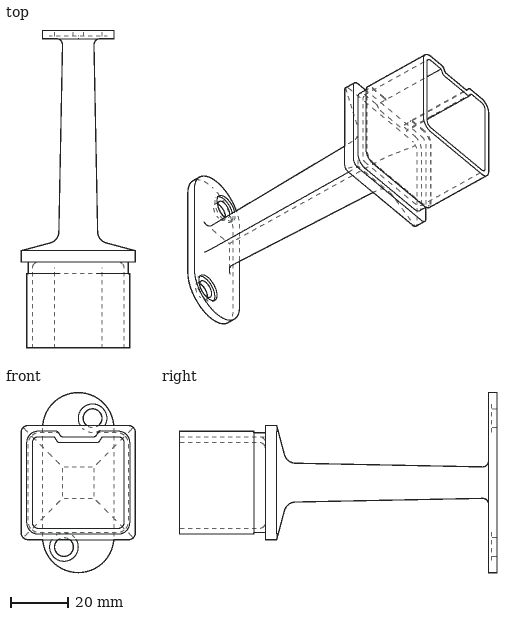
import cadquery as cq
import math

plate_width = 25.0
plate_height = 63.0
plate_thickness = 3.0
screw_offset_x = 5.0
screw_offset_z = 22.5
screw_diameter = 6.5
counterbore_diameter = 10.0
counterbore_depth = 1.0

stem_width_at_plate = 11.0
stem_width_at_flange = 13.9
plate_fillet = 2.0
flange_fillet = 4.0

flange_width = 40.0
flange_thickness = 4.0
flange_corner_radius = 2.5
pyramid_angle = 15.0

overall_length = 111.0
plug_length = 30.0
neck_length = 4.0
plug_width = 36.0
neck_width = 35.0
plug_corner_radius = 4.0
wall = 2.0
groove_depth = 2.0
groove_floor_width = 12.0
groove_side_angle = 60.0
groove_edge_radius = 1.1
pocket_depth = plug_length
pocket_floor_fillet = 2.0

plug_start = overall_length - plug_length
neck_end = plug_start + neck_length
flange_back = plug_start - flange_thickness

pyramid_slope = math.tan(math.radians(pyramid_angle))
pyramid_top_width = stem_width_at_plate
pyramid_height = (flange_width - pyramid_top_width) / 2 * pyramid_slope
stem_joint = flange_back - (flange_width - stem_width_at_flange) / 2 * pyramid_slope

groove_floor_z = plug_width / 2 - groove_depth
edge_search_margin = 0.5


def station(distance):
    """XZ workplane facing -Y at the given distance from the back of the plate."""
    return cq.Workplane("XZ", origin=(0, -distance, 0))


def make_plate():
    return station(0).slot2D(plate_height, plate_width, 90).extrude(plate_thickness)


def make_stem():
    length = flange_back - plate_thickness
    flare = math.degrees(math.atan((stem_width_at_flange - stem_width_at_plate) / 2 / length))
    return (
        station(flange_back)
        .rect(stem_width_at_flange, stem_width_at_flange)
        .extrude(-length, taper=flare)
    )


def make_flange():
    """Flange plate and pyramid, both trimmed to the same rounded corners."""
    pyramid = (
        station(flange_back)
        .rect(flange_width, flange_width)
        .extrude(-pyramid_height, taper=90 - pyramid_angle)
    )
    block = station(flange_back).rect(flange_width, flange_width).extrude(flange_thickness)
    envelope = (
        station(flange_back - pyramid_height)
        .rect(flange_width, flange_width)
        .extrude(pyramid_height + flange_thickness)
        .edges("|Y")
        .fillet(flange_corner_radius)
    )
    return block.union(pyramid).intersect(envelope)


def groove_mouth_half_width(top_z, floor_z, floor_half_width):
    """Half width of the groove where its sloping sides reach the height top_z."""
    return floor_half_width + (top_z - floor_z) / math.tan(math.radians(groove_side_angle))


def grooved_prism(start, length, width, corner_radius, floor_z, floor_half_width):
    """Rounded square prism with a trapezoidal groove along its top and rounded groove floor corners."""
    half = width / 2
    mouth_half_width = groove_mouth_half_width(half, floor_z, floor_half_width)
    prism = (
        station(start)
        .polyline([
            (-half, -half),
            (half, -half),
            (half, half),
            (mouth_half_width, half),
            (floor_half_width, floor_z),
            (-floor_half_width, floor_z),
            (-mouth_half_width, half),
            (-half, half),
        ])
        .close()
        .extrude(length)
    )
    prism = prism.edges("|Y").edges("<X or >X").fillet(corner_radius)
    return round_lengthwise_edges(prism, floor_half_width, floor_z)


def round_lengthwise_edges(prism, half_spacing, height):
    """Round the mirrored pair of lengthwise edges at X = +/-half_spacing and Z = height."""
    for x in (-half_spacing, half_spacing):
        corner = cq.selectors.BoxSelector(
            (x - edge_search_margin, -overall_length, height - edge_search_margin),
            (x + edge_search_margin, 0, height + edge_search_margin),
        )
        prism = prism.edges("|Y").edges(corner).fillet(groove_edge_radius)
    return prism


def plug_section(start, length, width):
    """Stretch of plug; its groove floor is level with the rest, and the groove mouth follows the width."""
    half = width / 2
    groove_floor_half = groove_floor_width / 2
    section = grooved_prism(start, length, width, plug_corner_radius, groove_floor_z, groove_floor_half)
    mouth_half = groove_mouth_half_width(half, groove_floor_z, groove_floor_half)
    return round_lengthwise_edges(section, mouth_half, half)


def make_plug():
    neck = plug_section(plug_start, neck_length, neck_width)
    body = plug_section(neck_end, plug_length - neck_length, plug_width)
    return neck.union(body)


def make_pocket():
    """Plug outline offset inwards by the wall, with a rounded floor."""
    inner_floor_half = groove_floor_width / 2 + wall * math.tan(math.radians(groove_side_angle / 2))
    pocket = grooved_prism(
        overall_length - pocket_depth,
        pocket_depth,
        plug_width - 2 * wall,
        plug_corner_radius - wall,
        groove_floor_z - wall,
        inner_floor_half,
    )
    return pocket.faces(">Y").edges().fillet(pocket_floor_fillet)


def make_screw_holes():
    """Two counterbored through holes, set diagonally across the plate."""
    centres = [(screw_offset_x, screw_offset_z), (-screw_offset_x, -screw_offset_z)]
    through = station(0).pushPoints(centres).circle(screw_diameter / 2).extrude(plate_thickness)
    counterbore = (
        station(plate_thickness - counterbore_depth)
        .pushPoints(centres)
        .circle(counterbore_diameter / 2)
        .extrude(counterbore_depth)
    )
    return through.union(counterbore)


def fillet_stem_end(body, distance, stem_width, radius):
    """Round the four edges where the stem meets the body at the given distance."""
    reach = stem_width / 2 + edge_search_margin
    around_joint = cq.selectors.BoxSelector(
        (-reach, -distance - edge_search_margin, -reach),
        (reach, -distance + edge_search_margin, reach),
    )
    return body.edges(around_joint).fillet(radius)


bracket = make_plate().union(make_stem()).union(make_flange())
bracket = fillet_stem_end(bracket, plate_thickness, stem_width_at_plate, plate_fillet)
bracket = fillet_stem_end(bracket, stem_joint, stem_width_at_flange, flange_fillet)
bracket = bracket.union(make_plug()).cut(make_pocket())
result = bracket.cut(make_screw_holes())